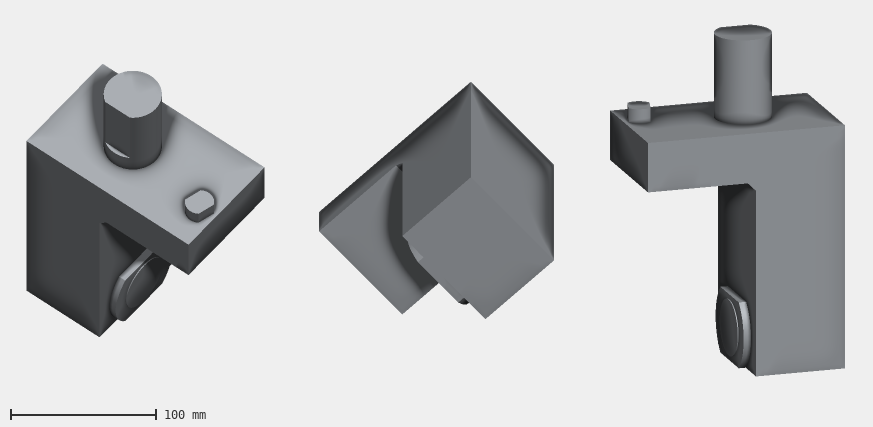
import cadquery as cq

total_length = 142.0
body_depth = 84.0
total_height = 234

body_top = 173.9
column_width = 64.0
arm_thickness = 35.3
corner_chamfer = 5.8
body_left = -60.0
body_right = body_left + total_length
column_right = body_left + column_width
arm_bottom = body_top - arm_thickness

shaft_diameter = 40.0
flat_offset = 16.8
flat_bottom = 187.2

pin_diameter = 20.1
pin_width = 15.2
pin_height = 10.3
pin_x = 70.2
pin_y = -14.7
pin_angle = -15

boss_diameter = 62.2
boss_flat_height = 47.0
boss_thickness = 5.4
boss_center_z = 23.9
cap_diameter = 40.0
cap_thickness = 0.7


def make_body():
    outline = [
        (body_left, 0),
        (column_right, 0),
        (column_right, arm_bottom - corner_chamfer),
        (column_right + corner_chamfer, arm_bottom),
        (body_right, arm_bottom),
        (body_right, body_top),
        (body_left, body_top),
    ]
    return cq.Workplane("XZ").polyline(outline).close().extrude(body_depth / 2, both=True)


def make_shaft():
    shaft = cq.Workplane("XY").workplane(offset=body_top)
    shaft = shaft.circle(shaft_diameter / 2).extrude(total_height - body_top)
    flat_cutter = cq.Workplane("XY").box(
        shaft_diameter, shaft_diameter, total_height - flat_bottom, centered=(True, False, False)
    )
    flat_cutter = flat_cutter.translate((0, -flat_offset - shaft_diameter, flat_bottom))
    return shaft.cut(flat_cutter)


def make_pin():
    pin = cq.Workplane("XY").circle(pin_diameter / 2).extrude(pin_height)
    flats = cq.Workplane("XY").rect(pin_width, pin_diameter).extrude(pin_height)
    pin = pin.intersect(flats)
    pin = pin.rotate((0, 0, 0), (0, 0, 1), pin_angle)
    return pin.translate((pin_x, pin_y, body_top))


def make_boss():
    base = cq.Workplane("YZ", origin=(column_right, 0, boss_center_z))
    disc = base.circle(boss_diameter / 2).extrude(boss_thickness)
    band = base.rect(boss_diameter, boss_flat_height).extrude(boss_thickness)
    cap = base.circle(cap_diameter / 2).extrude(boss_thickness + cap_thickness)
    return disc.intersect(band).union(cap)


result = make_body().union(make_shaft()).union(make_pin()).union(make_boss())